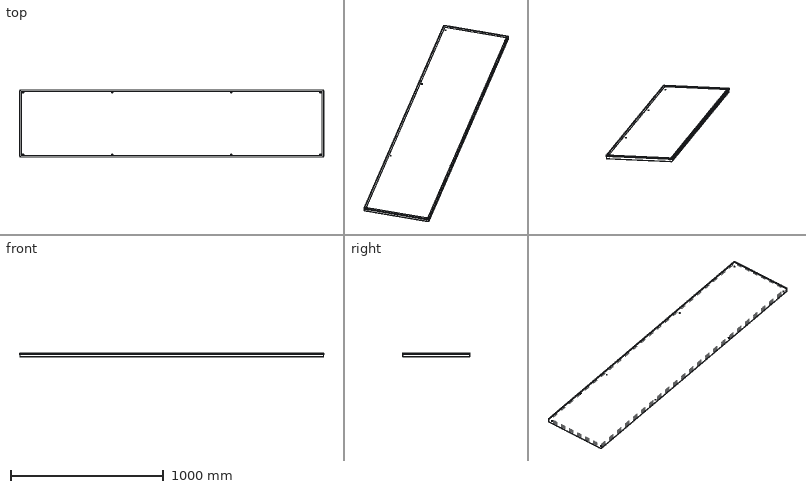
import cadquery as cq

LENGTH = 1992
WIDTH = 442
HEIGHT = 25

TRIM_WIDTH = 12
TRIM_BOTTOM = 17
TRIM_TOP_FILLET = 3.5
TRIM_OUTER_CORNER = 7
TRIM_INNER_CORNER = 3

SHEET = 1.5
TRIM_OVERHANG = 1
BEND_RADIUS = 2.5
WALL_INTO_TRIM = 4
WALL_TOP = TRIM_BOTTOM + WALL_INTO_TRIM
TRAY_CORNER = TRIM_OUTER_CORNER - TRIM_OVERHANG

HOLE_DIAMETER = 6
HOLE_OUTER_X = 974
HOLE_INNER_X = 390
HOLE_Y = 203


def rounded_block(inset, bottom, top, corner):
    """Block set in from the overall outline, with rounded upright corners."""
    return (
        cq.Workplane("XY")
        .workplane(offset=bottom)
        .rect(LENGTH - 2 * inset, WIDTH - 2 * inset)
        .extrude(top - bottom)
        .edges("|Z")
        .fillet(corner)
    )


def tray_envelope():
    """The tray filled solid, with the bend rounded along its bottom edge."""
    block = rounded_block(TRIM_OVERHANG, 0, WALL_TOP, TRAY_CORNER)
    return block.faces("<Z").edges().fillet(BEND_RADIUS)


def tray_cavity():
    """The space inside the tray, one sheet thickness within the envelope."""
    block = rounded_block(TRIM_OVERHANG + SHEET, SHEET, WALL_TOP, TRAY_CORNER - SHEET)
    return block.faces("<Z").edges().fillet(BEND_RADIUS - SHEET)


def mounting_holes():
    """Cutters through the tray floor, mirrored about both centre lines."""
    centres = [
        (x, y)
        for x in (-HOLE_OUTER_X, -HOLE_INNER_X, HOLE_INNER_X, HOLE_OUTER_X)
        for y in (-HOLE_Y, HOLE_Y)
    ]
    return cq.Workplane("XY").pushPoints(centres).circle(HOLE_DIAMETER / 2).extrude(SHEET)


def make_tray():
    return tray_envelope().cut(tray_cavity()).cut(mounting_holes())


def make_edge_trim(tray):
    """Rail with rounded top edges and a slot underneath for the tray wall."""
    outer = rounded_block(0, TRIM_BOTTOM, HEIGHT, TRIM_OUTER_CORNER)
    opening = rounded_block(TRIM_WIDTH, TRIM_BOTTOM, HEIGHT, TRIM_INNER_CORNER)
    rail = outer.cut(opening).faces(">Z").edges().fillet(TRIM_TOP_FILLET)
    return rail.cut(tray)


tray = make_tray()
edge_trim = make_edge_trim(tray)

result = cq.Compound.makeCompound([tray.val(), edge_trim.val()])